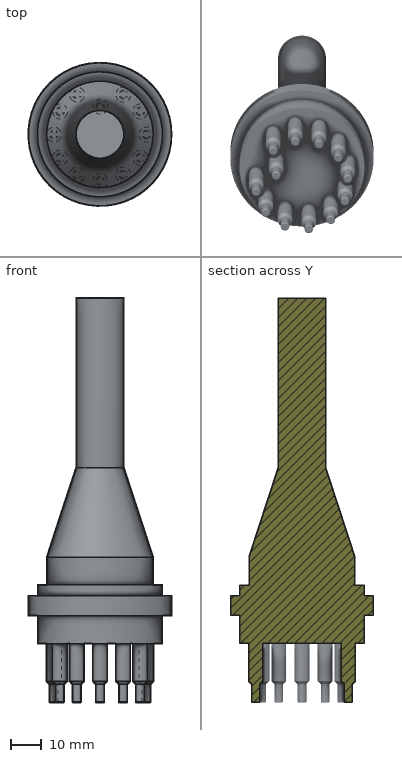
import cadquery as cq
import math

INSERT_DIAMETER = 40.5
INSERT_HEIGHT = 9.0
FLANGE_DIAMETER = 46.5
FLANGE_HEIGHT = 6.5
COLLAR_DIAMETER = 40.5
COLLAR_HEIGHT = 3.5
SLEEVE_DIAMETER = 34.5
SLEEVE_HEIGHT = 9.0
CONE_HEIGHT = 29.0
CABLE_DIAMETER = 15.5
CABLE_LENGTH = 55.0

PIN_LENGTH = 19.2
SHANK_DIAMETER = 4.8
SHANK_LENGTH = 12.2
SHOULDER_HEIGHT = 1.0
TIP_DIAMETER = 2.8
TIP_CHAMFER = 0.3
PIN_CIRCLE_RADIUS = 15.0
PIN_PITCH = 30
KEY_PIN_ANGLE = 90
KEY_PIN_RADIUS = 9.0


def make_body():
    """Insert, flange, collar, sleeve, cone and cable as one revolved profile."""
    insert_radius = INSERT_DIAMETER / 2
    flange_radius = FLANGE_DIAMETER / 2
    collar_radius = COLLAR_DIAMETER / 2
    sleeve_radius = SLEEVE_DIAMETER / 2
    cable_radius = CABLE_DIAMETER / 2
    flange_top = INSERT_HEIGHT + FLANGE_HEIGHT
    collar_top = flange_top + COLLAR_HEIGHT
    sleeve_top = collar_top + SLEEVE_HEIGHT
    cone_top = sleeve_top + CONE_HEIGHT
    cable_top = cone_top + CABLE_LENGTH
    profile = [
        (0, 0),
        (insert_radius, 0),
        (insert_radius, INSERT_HEIGHT),
        (flange_radius, INSERT_HEIGHT),
        (flange_radius, flange_top),
        (collar_radius, flange_top),
        (collar_radius, collar_top),
        (sleeve_radius, collar_top),
        (sleeve_radius, sleeve_top),
        (cable_radius, cone_top),
        (cable_radius, cable_top),
        (0, cable_top),
    ]
    return cq.Workplane("XZ").polyline(profile).close().revolve(360, (0, 0), (0, 1))


def make_pin(x, y):
    """Stepped pin hanging below the insert, with a tapered shoulder and a chamfered tip."""
    shank_radius = SHANK_DIAMETER / 2
    tip_radius = TIP_DIAMETER / 2
    profile = [
        (0, 0),
        (shank_radius, 0),
        (shank_radius, -SHANK_LENGTH),
        (tip_radius, -SHANK_LENGTH - SHOULDER_HEIGHT),
        (tip_radius, -PIN_LENGTH + TIP_CHAMFER),
        (tip_radius - TIP_CHAMFER, -PIN_LENGTH),
        (0, -PIN_LENGTH),
    ]
    pin = cq.Workplane("XZ").polyline(profile).close().revolve(360, (0, 0), (0, 1))
    return pin.translate((x, y, 0))


result = make_body()
for angle in range(0, 360, PIN_PITCH):
    radius = KEY_PIN_RADIUS if angle == KEY_PIN_ANGLE else PIN_CIRCLE_RADIUS
    pin_x = radius * math.cos(math.radians(angle))
    pin_y = radius * math.sin(math.radians(angle))
    result = result.union(make_pin(pin_x, pin_y))